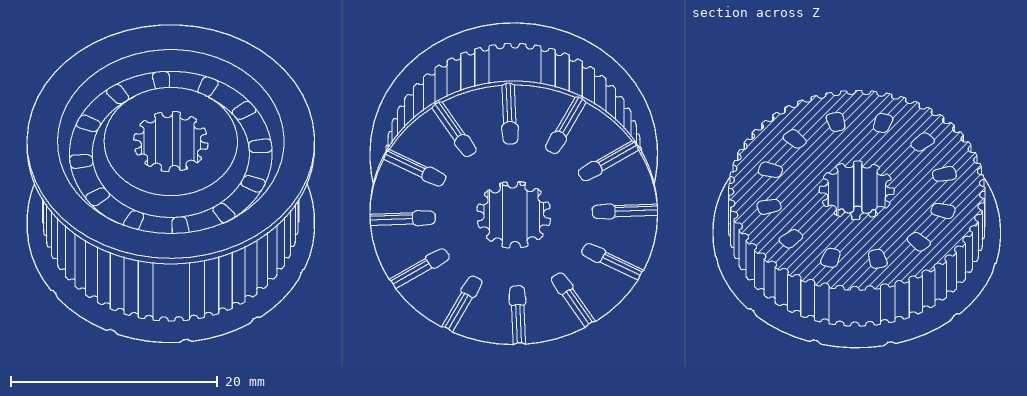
import cadquery as cq
import math

body_height = 14.0
flange_radius = 27.85 / 2

belt_teeth = 53
belt_land_radius = 12.42
belt_tip_radius = 0.4
belt_depth = 0.5
belt_fillet = 0.15

bore_teeth = 12
bore_land_radius = 3.61
bore_tip_radius = 0.5
bore_depth = 0.74
bore_fillet = 0.18

flange_thickness = 1.5
flange_slope = math.radians(15)
flange_fillet = 0.4

recess_depth = 2.0
recess_wall_angle = math.radians(30)
recess_floor_inner = 7.61
recess_floor_outer = 9.81

slot_count = 12
slot_half_angle = math.radians(5)
slot_corner_radius = 0.5
channel_depth = 0.4
channel_bottom_width = 1.2
channel_top_width = 0.4

first_tooth_angle = math.pi / 2
vertical_axis = ((0, 0, 0), (0, 1, 0))


def polar(radius, angle):
    return (radius * math.cos(angle), radius * math.sin(angle))


def toothed_outline(teeth, land_radius, depth, tip_radius, fillet):
    """Closed outline of a pulley whose round-bottomed grooves blend into circular lands."""
    pitch_angle = 2 * math.pi / teeth
    tip_centre = land_radius - depth + tip_radius
    fillet_centre = land_radius - fillet
    span = tip_radius + fillet

    cos_edge = (tip_centre**2 + fillet_centre**2 - span**2) / (2 * tip_centre * fillet_centre)
    edge_angle = math.acos(cos_edge)

    fillet_x, fillet_y = polar(fillet_centre, edge_angle)
    share = tip_radius / span
    touch_x = tip_centre + share * (fillet_x - tip_centre)
    touch_y = share * fillet_y
    touch_radius = math.hypot(touch_x, touch_y)
    touch_angle = math.atan2(touch_y, touch_x)

    towards_touch = math.atan2(touch_y - fillet_y, touch_x - fillet_x)
    bisector = (edge_angle + towards_touch) / 2
    middle_x = fillet_x + fillet * math.cos(bisector)
    middle_y = fillet_y + fillet * math.sin(bisector)
    middle_radius = math.hypot(middle_x, middle_y)
    middle_angle = math.atan2(middle_y, middle_x)

    outline = cq.Workplane("XY").moveTo(*polar(land_radius, first_tooth_angle - edge_angle))
    for index in range(teeth):
        centre = first_tooth_angle + index * pitch_angle
        outline = outline.threePointArc(
            polar(middle_radius, centre - middle_angle),
            polar(touch_radius, centre - touch_angle),
        )
        outline = outline.threePointArc(
            polar(land_radius - depth, centre),
            polar(touch_radius, centre + touch_angle),
        )
        outline = outline.threePointArc(
            polar(middle_radius, centre + middle_angle),
            polar(land_radius, centre + edge_angle),
        )
        outline = outline.threePointArc(
            polar(land_radius, centre + pitch_angle / 2),
            polar(land_radius, centre + pitch_angle - edge_angle),
        )
    return outline.close()


def bottom_flange():
    cone_drop = (flange_radius - belt_land_radius) * math.tan(flange_slope)
    rim_height = flange_thickness - cone_drop
    flange = (
        cq.Workplane("XZ")
        .polyline([
            (0, 0),
            (flange_radius, 0),
            (flange_radius, rim_height),
            (belt_land_radius, flange_thickness),
            (0, flange_thickness),
        ])
        .close()
        .revolve(360, *vertical_axis)
    )
    rim_edge = cq.selectors.NearestToPointSelector((0, 0, rim_height))
    return flange.edges(rim_edge).fillet(flange_fillet)


def top_recess():
    floor_height = body_height - recess_depth
    wall_run = recess_depth * math.tan(recess_wall_angle)
    return (
        cq.Workplane("XZ")
        .polyline([
            (recess_floor_inner, floor_height),
            (recess_floor_outer, floor_height),
            (recess_floor_outer + wall_run, body_height),
            (recess_floor_inner - wall_run, body_height),
        ])
        .close()
        .revolve(360, *vertical_axis)
    )


def slot():
    """Slot along +X with radial sides, concentric ends and rounded corners."""
    return (
        cq.Workplane("XY")
        .moveTo(*polar(recess_floor_inner, -slot_half_angle))
        .lineTo(*polar(recess_floor_outer, -slot_half_angle))
        .threePointArc((recess_floor_outer, 0), polar(recess_floor_outer, slot_half_angle))
        .lineTo(*polar(recess_floor_inner, slot_half_angle))
        .threePointArc((recess_floor_inner, 0), polar(recess_floor_inner, -slot_half_angle))
        .close()
        .extrude(body_height - recess_depth)
        .edges("|Z")
        .fillet(slot_corner_radius)
    )


def channel():
    """Tapered groove in the bottom face, along +X from inside a slot out past the rim."""
    start_radius = (recess_floor_inner + recess_floor_outer) / 2
    return (
        cq.Workplane("YZ", origin=(start_radius, 0, 0))
        .polyline([
            (-channel_bottom_width / 2, 0),
            (channel_bottom_width / 2, 0),
            (channel_top_width / 2, channel_depth),
            (-channel_top_width / 2, channel_depth),
        ])
        .close()
        .extrude(flange_radius)
    )


def build_pulley():
    belt_outline = toothed_outline(
        belt_teeth, belt_land_radius, belt_depth, belt_tip_radius, belt_fillet
    )
    bore_outline = toothed_outline(
        bore_teeth, bore_land_radius, bore_depth, bore_tip_radius, bore_fillet
    )
    lower_flange = bottom_flange()
    upper_flange = lower_flange.mirror("XY", (0, 0, body_height / 2))

    pulley = belt_outline.extrude(body_height).union(lower_flange).union(upper_flange)
    pulley = pulley.cut(top_recess()).cut(bore_outline.extrude(body_height))

    slot_and_channel = slot().union(channel())
    for index in range(slot_count):
        turn = index * 360 / slot_count
        pulley = pulley.cut(slot_and_channel.rotate((0, 0, 0), (0, 0, 1), turn))
    return pulley


result = build_pulley()